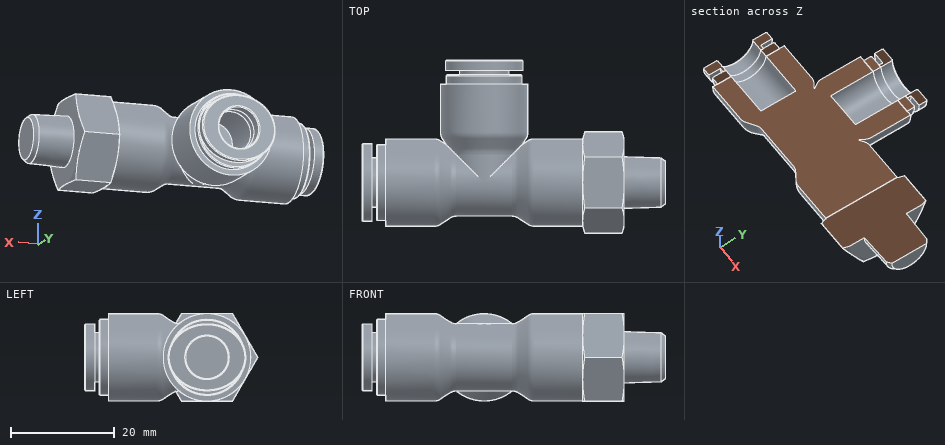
import cadquery as cq
import math


arm_length = 19.0
arm_diameter = 16.9
waist_diameter = 13.0
shoulder_start = 6.0
shoulder_end = 9.0
shoulder_round = 2.0

tube_bore_diameter = 8.2
tube_stop = shoulder_end
collar_diameter = 14.7
collar_length = 1.8
neck_diameter = 9.6
neck_length = 0.8
flange_width = 15.0
flange_height = 12.95
flange_length = 2.0
edge_break = 0.2

hex_across_flats = 17.0
hex_length = 8.0
hex_chamfer_length = 0.4
stud_length = 8.0
stud_root_diameter = 10.0
stud_tip_diameter = 9.56
stud_end_diameter = 8.2
stud_chamfer_length = 0.9

collar_end = arm_length + collar_length
neck_end = collar_end + neck_length
flange_end = neck_end + flange_length
hex_end = arm_length + hex_length
stud_end = hex_end + stud_length

BRANCH_ANGLE = 90
INLET_ANGLE = 180
OUTLET_ANGLE = 0
PORT_ANGLES = (INLET_ANGLE, BRANCH_ANGLE)


def rod(diameter, start, end):
    """Cylinder on the X axis between two positions."""
    return cq.Workplane("YZ", origin=(start, 0, 0)).circle(diameter / 2).extrude(end - start)


def turn(part, angle):
    """Swing a part built along +X about the Z axis."""
    return part.rotate((0, 0, 0), (0, 0, 1), angle)


def make_arm():
    """One arm of the tee: waist, rounded shoulder cone and full-diameter end."""
    waist_radius = waist_diameter / 2
    arm_radius = arm_diameter / 2
    slope = math.atan2(arm_radius - waist_radius, shoulder_end - shoulder_start)
    setback = shoulder_round * math.tan(slope / 2)
    along = setback * math.cos(slope)
    rise = setback * math.sin(slope)
    return (
        cq.Workplane("XY")
        .lineTo(0, waist_radius)
        .lineTo(shoulder_start - setback, waist_radius)
        .tangentArcPoint((shoulder_start + along, waist_radius + rise), relative=False)
        .lineTo(shoulder_end - along, arm_radius - rise)
        .tangentArcPoint((shoulder_end + setback, arm_radius), relative=False)
        .lineTo(arm_length, arm_radius)
        .lineTo(arm_length, 0)
        .close()
        .revolve(360, (0, 0, 0), (1, 0, 0))
    )


def make_tee_body():
    """Three equal arms, with a blind tube bore in the inlet and the branch."""
    arm = make_arm()
    body = turn(arm, OUTLET_ANGLE)
    for angle in PORT_ANGLES:
        body = body.union(turn(arm, angle))
    for angle in PORT_ANGLES:
        body = body.cut(turn(rod(tube_bore_diameter, tube_stop, arm_length), angle))
    return body


def make_collar():
    """Ring on the arm end that retains the release sleeve."""
    ring = rod(collar_diameter, arm_length, collar_end).faces(">X").chamfer(edge_break)
    return ring.cut(rod(tube_bore_diameter, arm_length, collar_end))


def make_release_sleeve():
    """Round neck with an oval push flange, bored for the tube."""
    flange = (
        cq.Workplane("YZ", origin=(neck_end, 0, 0))
        .ellipse(flange_width / 2, flange_height / 2)
        .extrude(flange_length)
        .faces(">X")
        .chamfer(edge_break)
    )
    sleeve = flange.union(rod(neck_diameter, collar_end, neck_end))
    sleeve = sleeve.cut(rod(tube_bore_diameter, collar_end, flange_end))
    return sleeve.faces(">X").edges("%CIRCLE").chamfer(edge_break)


def make_hex():
    """Hexagon with corners on +Y and -Y, its corners chamfered at both ends."""
    corner_radius = hex_across_flats / math.sqrt(3)
    face_radius = hex_across_flats / 2
    hexagon = (
        cq.Workplane("YZ", origin=(arm_length, 0, 0))
        .polygon(6, 2 * corner_radius)
        .extrude(hex_length)
    )
    corner_limit = (
        cq.Workplane("XY")
        .moveTo(arm_length, 0)
        .lineTo(arm_length, face_radius)
        .lineTo(arm_length + hex_chamfer_length, corner_radius)
        .lineTo(hex_end - hex_chamfer_length, corner_radius)
        .lineTo(hex_end, face_radius)
        .lineTo(hex_end, 0)
        .close()
        .revolve(360, (0, 0, 0), (1, 0, 0))
    )
    return hexagon.intersect(corner_limit)


def make_threaded_stud():
    """Hexagon and its tapered stud with a chamfered tip."""
    stud = (
        cq.Workplane("XY")
        .moveTo(hex_end, 0)
        .lineTo(hex_end, stud_root_diameter / 2)
        .lineTo(stud_end - stud_chamfer_length, stud_tip_diameter / 2)
        .lineTo(stud_end, stud_end_diameter / 2)
        .lineTo(stud_end, 0)
        .close()
        .revolve(360, (0, 0, 0), (1, 0, 0))
    )
    return make_hex().union(stud)


tee_body = make_tee_body()
threaded_stud = make_threaded_stud()
collars = [turn(make_collar(), angle) for angle in PORT_ANGLES]
release_sleeves = [turn(make_release_sleeve(), angle) for angle in PORT_ANGLES]

result = cq.Compound.makeCompound([
    tee_body.val(),
    threaded_stud.val(),
    *[collar.val() for collar in collars],
    *[sleeve.val() for sleeve in release_sleeves],
])